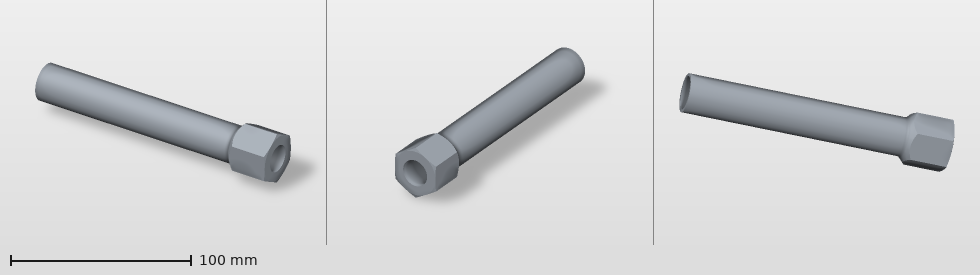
import cadquery as cq
import math

length = 152.0

tube_diameter = 22.0
socket_diameter = 19.0
bore_diameter = 16.0

hex_across_flats = 27.0
hex_across_corners = hex_across_flats / math.cos(math.radians(30))
shoulder_start = 126.0
shoulder_fillet = 2.0
end_chamfer_length = 0.6

tube_radius = tube_diameter / 2
corner_radius = hex_across_corners / 2
end_radius = hex_across_flats / 2
shoulder_end = shoulder_start + corner_radius - tube_radius

half_turn = math.radians(45 / 2)
fillet_setback = shoulder_fillet * math.tan(half_turn)
fillet_start = (shoulder_start - fillet_setback, tube_radius)
fillet_middle = (
    fillet_start[0] + shoulder_fillet * math.sin(half_turn),
    tube_radius + shoulder_fillet * (1 - math.cos(half_turn)),
)
fillet_end = (
    shoulder_start + fillet_setback * math.cos(math.radians(45)),
    tube_radius + fillet_setback * math.sin(math.radians(45)),
)


def x_cylinder(diameter, start, end):
    """Solid cylinder around the X axis."""
    return cq.Workplane("YZ").workplane(offset=start).circle(diameter / 2).extrude(end - start)


def turned_blank():
    """Tube, filleted conical shoulder and chamfered head, before the flats are cut."""
    return (
        cq.Workplane("XY")
        .moveTo(0, 0)
        .lineTo(0, tube_radius)
        .lineTo(*fillet_start)
        .threePointArc(fillet_middle, fillet_end)
        .lineTo(shoulder_end, corner_radius)
        .lineTo(length - end_chamfer_length, corner_radius)
        .lineTo(length, end_radius)
        .lineTo(length, 0)
        .close()
        .revolve(360, (0, 0, 0), (1, 0, 0))
    )


def hex_bar():
    """Full-length hexagonal bar with corners at the top and bottom."""
    return (
        cq.Workplane("YZ")
        .polygon(6, hex_across_corners)
        .extrude(length)
        .rotate((0, 0, 0), (1, 0, 0), 90)
    )


body = turned_blank().intersect(hex_bar())

socket = x_cylinder(socket_diameter, 0, shoulder_start)
bore = x_cylinder(bore_diameter, 0, length)
result = body.cut(socket).cut(bore)